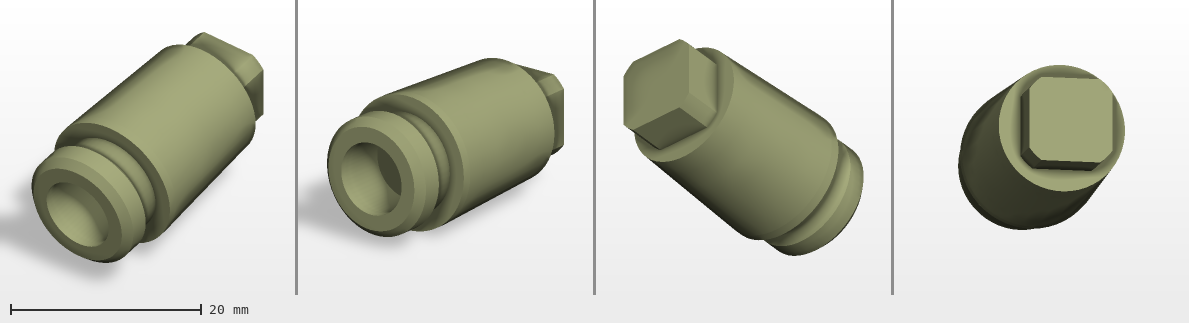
import cadquery as cq
import math

total_length = 27.2
lip_chamfer_end = 0.87
lip_end = 3.07
neck_start = 4.2
neck_blend_start = 3.9
body_start = 6.17
taper_start = 7.25
body_end = 22.6

lip_front_diameter = 11.42
lip_diameter = 13.16
neck_diameter = 11.25
body_diameter = 15.0
body_end_diameter = 13.55
bore_diameter = 8.02

bore_depth = body_start

blend_angle = math.radians(45)

drive_width = 8.92
drive_flat = 6.28
drive_corner_radius = math.hypot(drive_width, drive_flat) / 2


def make_turned_body():
    """Revolve the lip, neck and tapered body about the Y axis."""
    neck_radius = neck_diameter / 2
    blend_length = neck_start - neck_blend_start
    blend_rise = blend_length * math.tan(blend_angle / 2)
    blend_middle = (
        neck_radius + blend_rise * (1 - math.cos(blend_angle / 2)) / (1 - math.cos(blend_angle)),
        neck_start - blend_length * math.sin(blend_angle / 2) / math.sin(blend_angle),
    )
    return (
        cq.Workplane("XY")
        .lineTo(lip_front_diameter / 2, 0)
        .lineTo(lip_diameter / 2, lip_chamfer_end)
        .lineTo(lip_diameter / 2, lip_end)
        .lineTo(neck_radius + blend_rise, neck_blend_start)
        .threePointArc(blend_middle, (neck_radius, neck_start))
        .lineTo(neck_radius, body_start)
        .lineTo(body_diameter / 2, body_start)
        .lineTo(body_diameter / 2, taper_start)
        .lineTo(body_end_diameter / 2, body_end)
        .lineTo(0, body_end)
        .close()
        .revolve(360, (0, 0, 0), (0, 1, 0))
    )


def make_drive():
    """Square drive with its corners turned round behind the body."""
    drive_length = total_length - body_end
    square = cq.Workplane("XY").box(drive_width, drive_length, drive_width, centered=(True, False, True))
    corner_cylinder = cq.Workplane("XZ").circle(drive_corner_radius).extrude(-drive_length)
    return square.intersect(corner_cylinder).translate((0, body_end, 0))


def make_bore():
    """Blind round hole entering from the front end."""
    return cq.Workplane("XZ").circle(bore_diameter / 2).extrude(-bore_depth)


result = make_turned_body().union(make_drive()).cut(make_bore())